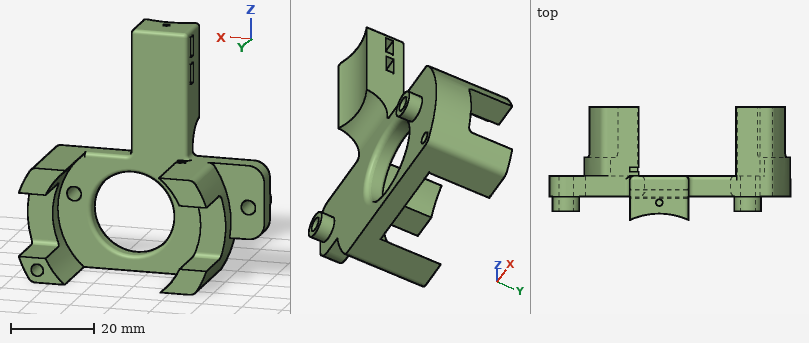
import cadquery as cq
import math


TOTAL_HEIGHT = 60.0

PLATE_THICKNESS = 5.0
PLATE_TOP = 14.4
PLATE_BOTTOM = -14.1
BODY_RADIUS = 24.75
BODY_CORNER_RADIUS = 2.0
BODY_DEPTH = 21.5
CAVITY_RADIUS = 18.5
EDGE_RADIUS = 1.0

WINDOW_START = 9.5
WINDOW_HALF_HEIGHT = 7.9
WINDOW_CORNER_RADIUS = 1.2

BORE_DIAMETER = 20.67
BORE_LEAD_IN_RADIUS = 1.45

LUG_LEFT = -33.05
LUG_BOTTOM = -3.97
LUG_CORNER_RADIUS = 4.0
STANDOFF_DIAMETER = 6.5
STANDOFF_HOLE_DIAMETER = 3.55
STANDOFF_HEIGHT = 3.5
STANDOFF_Z = 3.97
STANDOFF_XS = (-29.1, 14.45)

DOWEL_DIAMETER = 3.0
DOWEL_X = 18.82
DOWEL_Z = -10.97

POST_LEFT = -13.76
POST_WIDTH = 14.08
POST_RIGHT = POST_LEFT + POST_WIDTH
POST_CENTER_X = POST_LEFT + POST_WIDTH / 2
POST_TOP = PLATE_BOTTOM + TOTAL_HEIGHT
POST_FRONT = -5.61
POST_FRONT_RADIUS = 17.0
POST_FLARE_RADIUS = 1.2
UNDERCUT_RADIUS = 6.0
UNDERCUT_Z = 16.4
POST_HOLE_DIAMETER = 1.6
POST_HOLE_Y = -1.44
POST_HOLE_DEPTH = 10.0
POST_SLOT_WIDTH = 2.0
POST_SLOT_HEIGHT = 5.0
POST_SLOT_CENTERS = ((0.62, 41.75), (0.8, 35.05))

WEB_LEFT = POST_LEFT - POST_FLARE_RADIUS
WEB_RIGHT = 11.8
WEB_BOTTOM = 0.0

NOTCH_LEFT = -13.8
NOTCH_RIGHT = -11.0
NOTCH_START = 6.0
NOTCH_WIDTH = 1.0
NOTCH_DEPTH = 0.2

TOLERANCE = 0.01


def block(x_min, x_max, y_min, y_max, z_min, z_max):
    """Axis-aligned box given by its limits."""
    return cq.Workplane("XY").box(
        x_max - x_min, y_max - y_min, z_max - z_min, centered=False
    ).translate((x_min, y_min, z_min))


def cylinder_y(x, z, diameter, y_start, y_end):
    """Cylinder along Y from y_start to y_end."""
    axis_start = cq.Vector(x, y_start, z)
    return cq.Workplane(cq.Solid.makeCylinder(
        diameter / 2, y_end - y_start, axis_start, cq.Vector(0, 1, 0)))


def edges_near(x_min, x_max, y_min, y_max, z_min, z_max):
    """Selector for edges whose centres lie inside the given limits."""
    low = (x_min - TOLERANCE, y_min - TOLERANCE, z_min - TOLERANCE)
    high = (x_max + TOLERANCE, y_max + TOLERANCE, z_max + TOLERANCE)
    return cq.selectors.BoxSelector(low, high)


def make_ring_body():
    """Disc with flat top and bottom, hollowed from the back, with side windows."""
    disc = cylinder_y(0, 0, 2 * BODY_RADIUS, 0, BODY_DEPTH)
    flats = block(-BODY_RADIUS, BODY_RADIUS, 0, BODY_DEPTH, PLATE_BOTTOM, PLATE_TOP)
    body = disc.intersect(flats).edges("|Y").edges("<Z or >Z").fillet(BODY_CORNER_RADIUS)
    body = body.cut(cylinder_y(0, 0, 2 * CAVITY_RADIUS, PLATE_THICKNESS, BODY_DEPTH))
    window = block(
        -BODY_RADIUS, BODY_RADIUS, WINDOW_START, BODY_DEPTH + WINDOW_CORNER_RADIUS,
        -WINDOW_HALF_HEIGHT, WINDOW_HALF_HEIGHT,
    ).edges("|X and <Y").fillet(WINDOW_CORNER_RADIUS)
    web_space = block(WEB_LEFT, WEB_RIGHT, 0, PLATE_THICKNESS, WEB_BOTTOM, PLATE_TOP)
    return body.cut(window).cut(web_space)


def make_lug():
    """Flat mounting lug on the left of the plate."""
    lug = block(LUG_LEFT, POST_LEFT, 0, PLATE_THICKNESS, LUG_BOTTOM, PLATE_TOP)
    return lug.edges("|Y and <X").fillet(LUG_CORNER_RADIUS)


def make_post_and_web():
    """Upright post on the top web, with one continuous round along the back edges."""
    web = block(WEB_LEFT, WEB_RIGHT, 0, PLATE_THICKNESS, WEB_BOTTOM, PLATE_TOP)
    post = block(POST_LEFT, POST_RIGHT, POST_FRONT, PLATE_THICKNESS, PLATE_TOP, POST_TOP)
    undercut = block(POST_LEFT, POST_RIGHT, POST_FRONT, 0, PLATE_TOP, UNDERCUT_Z)
    undercut_round = cq.Workplane("YZ").center(-UNDERCUT_RADIUS, UNDERCUT_Z).circle(
        UNDERCUT_RADIUS).extrude(POST_WIDTH).translate((POST_LEFT, 0, 0))
    post = post.cut(undercut).cut(undercut_round)

    body = web.union(post)
    for x, side in ((POST_LEFT, -1), (POST_RIGHT, 1)):
        body = body.union(make_flare(x, side))

    back_edges = edges_near(WEB_LEFT, WEB_RIGHT, PLATE_THICKNESS, PLATE_THICKNESS, PLATE_TOP, POST_TOP)
    top_edges = edges_near(POST_LEFT, POST_RIGHT, POST_FRONT, PLATE_THICKNESS, POST_TOP, POST_TOP)
    front_edges = cq.selectors.StringSyntaxSelector("<Y")
    body = body.edges(back_edges + (top_edges - front_edges)).fillet(EDGE_RADIUS)
    return cut_post_details(body)


def make_flare(x, side):
    """Concave round between the web top and one side of the post."""
    outer_x = x + side * POST_FLARE_RADIUS
    corner = block(min(x, outer_x), max(x, outer_x), 0, PLATE_THICKNESS,
                   PLATE_TOP, PLATE_TOP + POST_FLARE_RADIUS)
    return corner.cut(cylinder_y(outer_x, PLATE_TOP + POST_FLARE_RADIUS,
                                 2 * POST_FLARE_RADIUS, 0, PLATE_THICKNESS))


def cut_post_details(body):
    """Concave post front, cross slots and the hole in the post top."""
    axis_y = POST_FRONT - math.sqrt(POST_FRONT_RADIUS**2 - (POST_WIDTH / 2)**2)
    body = body.cut(cq.Workplane("XY").center(POST_CENTER_X, axis_y).circle(
        POST_FRONT_RADIUS).extrude(POST_TOP))
    for y, z in POST_SLOT_CENTERS:
        body = body.cut(cq.Workplane("XY").box(
            2 * POST_WIDTH, POST_SLOT_WIDTH, POST_SLOT_HEIGHT
        ).translate((POST_CENTER_X, y, z)))
    hole = cq.Workplane("XY").center(POST_CENTER_X, POST_HOLE_Y).circle(
        POST_HOLE_DIAMETER / 2).extrude(POST_HOLE_DEPTH)
    return body.cut(hole.translate((0, 0, POST_TOP - POST_HOLE_DEPTH)))


def make_bore_cutter():
    """Bore with a rounded mouth on both faces of the plate, revolved about Y."""
    radius = BORE_DIAMETER / 2
    diagonal = 1 - math.sqrt(0.5)
    front = BORE_LEAD_IN_RADIUS
    back = EDGE_RADIUS
    return (
        cq.Workplane("XY")
        .moveTo(0, 0)
        .lineTo(radius + front, 0)
        .threePointArc((radius + front * diagonal, front * diagonal), (radius, front))
        .lineTo(radius, PLATE_THICKNESS - back)
        .threePointArc((radius + back * diagonal, PLATE_THICKNESS - back * diagonal),
                       (radius + back, PLATE_THICKNESS))
        .lineTo(0, PLATE_THICKNESS)
        .close()
        .revolve(360, (0, 0, 0), (0, 1, 0))
    )


def add_standoffs(body):
    """Tubular standoffs on the front face, with holes through the plate."""
    for x in STANDOFF_XS:
        body = body.union(cylinder_y(
            x, STANDOFF_Z, STANDOFF_DIAMETER, -STANDOFF_HEIGHT, PLATE_THICKNESS / 2))
        body = body.cut(cylinder_y(
            x, STANDOFF_Z, STANDOFF_HOLE_DIAMETER, -STANDOFF_HEIGHT, PLATE_THICKNESS))
    return body


def make_dowel_hole_cutter():
    """Hole along the whole length of the lower right leg."""
    return cylinder_y(DOWEL_X, DOWEL_Z, DOWEL_DIAMETER, 0, BODY_DEPTH)


def make_notch_cutter():
    """Shallow notch in the top of the left leg."""
    return block(NOTCH_LEFT, NOTCH_RIGHT, NOTCH_START, NOTCH_START + NOTCH_WIDTH,
                 PLATE_TOP - NOTCH_DEPTH, PLATE_TOP)


result = make_ring_body().union(make_lug()).union(make_post_and_web())
result = result.cut(make_bore_cutter())
result = add_standoffs(result)
result = result.cut(make_dowel_hole_cutter())
result = result.cut(make_notch_cutter())